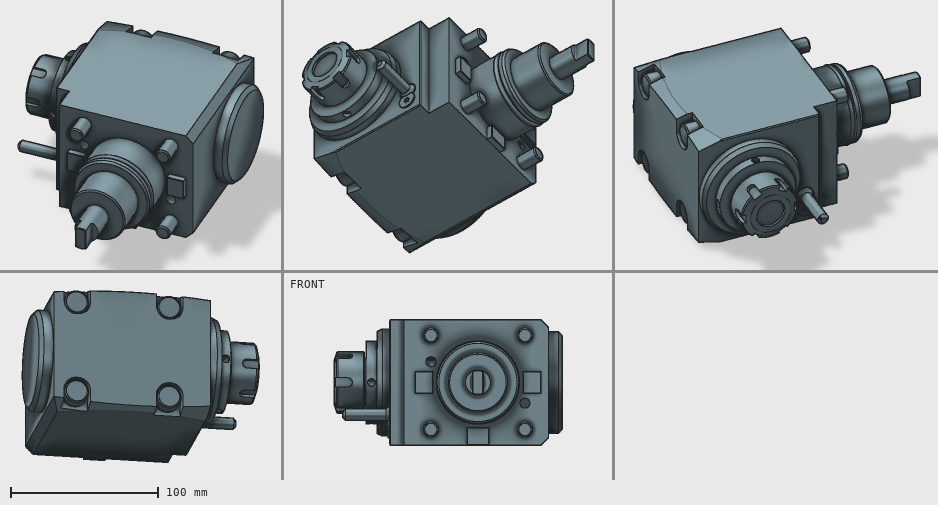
import cadquery as cq
import math


BLOCK_LEFT = -59.9
BLOCK_RIGHT = 48.0
BLOCK_DEPTH = 106.7
BLOCK_HEIGHT = 85.0
BLOCK_TOP = BLOCK_HEIGHT / 2
STEP_X = -50.0
STEP_Y = 17.0
RIGHT_CHAMFER = 5.3
LEFT_CHAMFER = 0.8

SWING_X = -7.2
SWING_RADIUS = 130.8
SWING_REACH = 7.0
SWING_SLOPE = math.radians(16.0)

SPINDLE_Y = 70.0
FLANGE_FRONT = -68.2
FLANGE_RADIUS = 36.4
FLANGE_BEVEL_LENGTH = 3.6
FLANGE_BEVEL_DEPTH = 1.7
CAP_END = 57.2
CAP_RADIUS = 34.5
CAP_CHAMFER = 2.8

COLLAR_FRONT = -75.6
JOURNAL_FRONT = -68.8
COLLAR_RADIUS = 28.0
SPANNER_HOLE_X = -72.0
SPANNER_HOLE_RADIUS = 2.7
SPANNER_HOLE_DEPTH = 3.8
SPANNER_HOLE_COUNT = 4
JOURNAL_RADIUS = 22.7

NECK_RADIUS = 16.5
NUT_BACK = -76.7
NUT_FRONT = -97.4
NUT_RADIUS = 20.8
NUT_BACK_CHAMFER = 0.5
NUT_RIM_FRONT = -95.7
NUT_RIM_BACK = -94.5
NUT_RIM_RADIUS = 20.3
NUT_FACE_RADIUS = 15.0
NUT_BORE_RADIUS = 10.5
NUT_BORE_DEPTH = 1.9
NUT_SLOT_COUNT = 6
NUT_SLOT_WIDTH = 6.5
NUT_SLOT_END = -84.9
NUT_SLOT_FLOOR = 18.0

SHANK_RADIUS = 27.7
SHANK_END = -29.5
SHANK_BEVEL_LENGTH = 1.7
SHANK_BEVEL_DEPTH = 1.1
GROOVE_START = -20.7
GROOVE_END = -25.0
GROOVE_RADIUS = 24.5
SEAL_WIRE_RADIUS = 1.5
SEAL_OUTER_RADIUS = 28.2
PILOT_RADIUS = 20.0
PILOT_END = -53.6
PILOT_CHAMFER = 1.0
DRIVE_RADIUS = 8.5
TANG_START = -72.4
TANG_END = BLOCK_DEPTH - 189.5
TANG_WIDTH = 7.5
TANG_CHAMFER = 0.5
TANG_ROOT_FILLET = 1.1

SCREW_PITCH = 63.7
SCREW_RADIUS = 5.1
SCREW_TIP = -15.0
SCREW_CHAMFER = 1.0
SCREW_HEAD_RADIUS = 8.1
HEAD_TOP = 104.8
HEAD_CHAMFER = 1.0
POCKET_RADIUS = 9.1
POCKET_DEPTH = 11.7
POCKET_OPENING = BLOCK_TOP - SCREW_PITCH / 2
KEY_HEIGHT = 4.4
KEY_WIDTH = 14.8
KEY_LENGTH = 12.1
KEY_CHAMFER = 0.4
SIDE_KEY_X = 36.5
BOTTOM_KEY_Z = -36.4
SMALL_HOLE_RADIUS = 3.5
SMALL_HOLE_Z = 14.0
SMALL_HOLE_DEPTH = 9.5
DRILL_HALF_ANGLE = math.radians(59.0)

NOZZLE_Y = 27.9
NOZZLE_Z = -21.8
NOZZLE_RADIUS = 4.0
NOZZLE_TIP = -91.5
NOZZLE_CHAMFER = 1.9
ORIFICE_RADIUS = 1.0
ORIFICE_DEPTH = 2.3
ORIFICE_ANGLE = math.radians(35.0)
BALL_RADIUS = 6.3
BALL_X = -57.5
NOZZLE_SEAT_RADIUS = 6.5
NOZZLE_SEAT_DEPTH = 0.8
PLUG_Z = -31.5
PLUG_RADIUS = 6.3
PLUG_SOCKET_WIDTH = 4.2
PLUG_FRONT = -60.8


def cylinder_x(radius, start, end, y, z):
    """Cylinder along X between two X positions."""
    return cq.Workplane("YZ", origin=(start, y, z)).circle(radius).extrude(end - start)


def cylinder_y(radius, start, end, x, z):
    """Cylinder along Y between two Y positions."""
    return cq.Workplane("XZ", origin=(x, start, z)).circle(radius).extrude(start - end)


def turned_about_spindle(points):
    """Solid of revolution about the spindle axis from (x, radius) points."""
    profile = cq.Workplane("XY").polyline([(x, SPINDLE_Y + r) for x, r in points]).close()
    return profile.revolve(360, (0, SPINDLE_Y, 0), (1, SPINDLE_Y, 0))


def turned_about_shank(points):
    """Solid of revolution about the shank axis from (radius, y) points."""
    return cq.Workplane("XY").polyline(points).close().revolve(360, (0, 0, 0), (0, 1, 0))


def block():
    outline = [
        (STEP_X, 0),
        (BLOCK_RIGHT, 0),
        (BLOCK_RIGHT, BLOCK_DEPTH),
        (BLOCK_LEFT, BLOCK_DEPTH),
        (BLOCK_LEFT, STEP_Y),
        (STEP_X, STEP_Y),
    ]
    body = cq.Workplane("XY").workplane(offset=-BLOCK_TOP).polyline(outline).close().extrude(BLOCK_HEIGHT)
    body = body.faces(">X").edges("|Y").chamfer(RIGHT_CHAMFER)
    body = body.faces("<X").edges("|Y or (|Z and <Y)").chamfer(LEFT_CHAMFER)
    return body.intersect(swing_envelope())


def swing_envelope():
    """Double cone that bevels the top and bottom back edges along an arc."""
    axis_y = BLOCK_DEPTH - SWING_REACH - SWING_RADIUS
    apex_radius = SWING_RADIUS + BLOCK_TOP / math.tan(SWING_SLOPE)
    half_height = apex_radius * math.tan(SWING_SLOPE)
    profile = cq.Workplane("XZ", origin=(SWING_X, axis_y, 0)).polyline(
        [(0, -half_height), (apex_radius, 0), (0, half_height)]
    ).close()
    return profile.revolve(360, (0, 0, 0), (0, 1, 0))


def spindle_housing():
    """Flange on the left of the block and bearing cap on the right."""
    flange = turned_about_spindle([
        (BLOCK_LEFT, 0),
        (FLANGE_FRONT, 0),
        (FLANGE_FRONT, FLANGE_RADIUS - FLANGE_BEVEL_DEPTH),
        (FLANGE_FRONT + FLANGE_BEVEL_LENGTH, FLANGE_RADIUS),
        (BLOCK_LEFT, FLANGE_RADIUS),
    ])
    cap = cylinder_x(CAP_RADIUS, BLOCK_RIGHT, CAP_END, SPINDLE_Y, 0).faces(">X").chamfer(CAP_CHAMFER)
    return flange.union(cap)


def shank():
    body = turned_about_shank([
        (0, 0),
        (SHANK_RADIUS, 0),
        (SHANK_RADIUS, GROOVE_START),
        (GROOVE_RADIUS, GROOVE_START),
        (GROOVE_RADIUS, GROOVE_END),
        (SHANK_RADIUS, GROOVE_END),
        (SHANK_RADIUS, SHANK_END + SHANK_BEVEL_LENGTH),
        (SHANK_RADIUS - SHANK_BEVEL_DEPTH, SHANK_END),
        (PILOT_RADIUS, SHANK_END),
        (PILOT_RADIUS, PILOT_END + PILOT_CHAMFER),
        (PILOT_RADIUS - PILOT_CHAMFER, PILOT_END),
        (0, PILOT_END),
    ])
    return body.union(drive_tang())


def drive_tang():
    """Round drive shaft with two flats that leave a tang across its end."""
    drive = cylinder_y(DRIVE_RADIUS, PILOT_END, TANG_END, 0, 0)
    length = TANG_START - TANG_END
    flat = cq.Workplane("XY").box(DRIVE_RADIUS, length, 2 * DRIVE_RADIUS)
    for side in (-1, 1):
        x = side * (TANG_WIDTH + DRIVE_RADIUS) / 2
        drive = drive.cut(flat.translate((x, TANG_END + length / 2, 0)))
    root_edges = cq.selectors.BoxSelector(
        (-TANG_WIDTH, TANG_START - TANG_ROOT_FILLET, -DRIVE_RADIUS / 2),
        (TANG_WIDTH, TANG_START + TANG_ROOT_FILLET, DRIVE_RADIUS / 2),
    )
    drive = drive.edges("|Z").edges(root_edges).fillet(TANG_ROOT_FILLET)
    return drive.faces("<Y").chamfer(TANG_CHAMFER)


def add_screws(body):
    """Four screws: heads in pockets open to the top or bottom, tips out of the mounting face."""
    places = [(sx * SCREW_PITCH / 2, sz * SCREW_PITCH / 2) for sx in (-1, 1) for sz in (-1, 1)]
    floor = BLOCK_DEPTH - POCKET_DEPTH
    opening = cq.Workplane("XY").box(2 * POCKET_RADIUS, POCKET_DEPTH, POCKET_OPENING)
    for x, z in places:
        pocket = cylinder_y(POCKET_RADIUS, BLOCK_DEPTH, floor, x, z)
        outward = math.copysign(POCKET_OPENING / 2, z)
        slot = opening.translate((x, floor + POCKET_DEPTH / 2, z + outward))
        head = cylinder_y(SCREW_HEAD_RADIUS, HEAD_TOP, floor, x, z).faces(">Y").chamfer(HEAD_CHAMFER)
        tip = cylinder_y(SCREW_RADIUS, 0, SCREW_TIP, x, z).faces("<Y").chamfer(SCREW_CHAMFER)
        body = body.cut(pocket).cut(slot).union(head).union(tip)
    return body


def keys():
    """Two side keys and one bottom key on the mounting face."""
    side_key = cq.Workplane("XY").box(KEY_LENGTH, KEY_HEIGHT, KEY_WIDTH).faces("<Y").chamfer(KEY_CHAMFER)
    bottom_key = cq.Workplane("XY").box(KEY_WIDTH, KEY_HEIGHT, KEY_LENGTH).faces("<Y").chamfer(KEY_CHAMFER)
    middle = -KEY_HEIGHT / 2
    return (
        side_key.translate((-SIDE_KEY_X, middle, 0))
        .union(side_key.translate((SIDE_KEY_X, middle, 0)))
        .union(bottom_key.translate((0, middle, BOTTOM_KEY_Z)))
    )


def drilled_hole(radius, depth, mouth, direction):
    """Cutter for a blind hole with a drill-point bottom."""
    point_length = radius / math.tan(DRILL_HALF_ANGLE)
    bore = cq.Solid.makeCylinder(radius, depth, mouth, direction)
    point = cq.Solid.makeCone(radius, 0, point_length, mouth + direction * depth, direction)
    return cq.Workplane(bore).union(cq.Workplane(point))


def small_holes():
    """Flat-bottomed hole and drilled hole, placed diagonally in the mounting face."""
    x = SCREW_PITCH / 2
    plain = cylinder_y(SMALL_HOLE_RADIUS, SMALL_HOLE_DEPTH, 0, x, -SMALL_HOLE_Z)
    mouth = cq.Vector(-x, 0, SMALL_HOLE_Z)
    return plain.union(drilled_hole(SMALL_HOLE_RADIUS, SMALL_HOLE_DEPTH, mouth, cq.Vector(0, 1, 0)))


def nozzle():
    """Coolant tube on a ball that sits half sunk in the block."""
    tube = cylinder_x(NOZZLE_RADIUS, NOZZLE_TIP, BALL_X, NOZZLE_Y, NOZZLE_Z).faces("<X").chamfer(NOZZLE_CHAMFER)
    ball = cq.Workplane("XY").sphere(BALL_RADIUS).translate((BALL_X, NOZZLE_Y, NOZZLE_Z))
    return tube.union(ball).cut(orifice())


def orifice():
    """Small jet hole square to the tip chamfer, on its upper back side."""
    side_y = math.cos(ORIFICE_ANGLE)
    side_z = math.sin(ORIFICE_ANGLE)
    offset = NOZZLE_RADIUS - NOZZLE_CHAMFER / 2
    mouth = cq.Vector(
        NOZZLE_TIP + NOZZLE_CHAMFER / 2,
        NOZZLE_Y + offset * side_y,
        NOZZLE_Z + offset * side_z,
    )
    inward = cq.Vector(1, -side_y, -side_z).normalized()
    return cq.Workplane(cq.Solid.makeCylinder(ORIFICE_RADIUS, ORIFICE_DEPTH, mouth, inward))


def plug():
    """Screw plug with a hexagon socket, standing slightly proud of the block."""
    body = cylinder_x(PLUG_RADIUS, PLUG_FRONT, BLOCK_LEFT, NOZZLE_Y, PLUG_Z)
    socket = cq.Workplane("YZ", origin=(PLUG_FRONT, NOZZLE_Y, PLUG_Z)).polygon(6, PLUG_SOCKET_WIDTH)
    return body.cut(socket.extrude(BLOCK_LEFT - PLUG_FRONT))


def spindle():
    """Collar, neck and collet nut on a short journal in front of the flange."""
    body = turned_about_spindle([
        (FLANGE_FRONT, 0),
        (FLANGE_FRONT, JOURNAL_RADIUS),
        (JOURNAL_FRONT, JOURNAL_RADIUS),
        (JOURNAL_FRONT, COLLAR_RADIUS),
        (COLLAR_FRONT, COLLAR_RADIUS),
        (COLLAR_FRONT, NECK_RADIUS),
        (NUT_BACK, NECK_RADIUS),
        (NUT_BACK, NUT_RADIUS - NUT_BACK_CHAMFER),
        (NUT_BACK - NUT_BACK_CHAMFER, NUT_RADIUS),
        (NUT_RIM_BACK, NUT_RADIUS),
        (NUT_RIM_FRONT, NUT_RIM_RADIUS),
        (NUT_FRONT, NUT_FACE_RADIUS),
        (NUT_FRONT, NUT_BORE_RADIUS),
        (NUT_FRONT + NUT_BORE_DEPTH, NUT_BORE_RADIUS),
        (NUT_FRONT + NUT_BORE_DEPTH, 0),
    ])
    body = cut_around_spindle(body, nut_slot(), NUT_SLOT_COUNT)
    return cut_around_spindle(body, spanner_hole(), SPANNER_HOLE_COUNT)


def cut_around_spindle(body, cutter, count):
    """Cut evenly spaced copies of a cutter around the spindle axis."""
    for index in range(count):
        turned = cutter.rotate((0, SPINDLE_Y, 0), (1, SPINDLE_Y, 0), index * 360 / count)
        body = body.cut(turned)
    return body


def nut_slot():
    """Round-ended spanner slot with a flat floor, on the side that faces -Y."""
    half = NUT_SLOT_WIDTH / 2
    end_centre = NUT_SLOT_END - half
    outline = (
        cq.Workplane("XZ", origin=(0, SPINDLE_Y - NUT_SLOT_FLOOR, 0))
        .moveTo(NUT_FRONT, -half)
        .lineTo(end_centre, -half)
        .threePointArc((NUT_SLOT_END, 0), (end_centre, half))
        .lineTo(NUT_FRONT, half)
        .close()
    )
    return outline.extrude(NUT_RADIUS)


def spanner_hole():
    """Drilled hole in the collar rim, on the side that faces -Y."""
    mouth = cq.Vector(SPANNER_HOLE_X, SPINDLE_Y - COLLAR_RADIUS, 0)
    return drilled_hole(SPANNER_HOLE_RADIUS, SPANNER_HOLE_DEPTH, mouth, cq.Vector(0, 1, 0))


def make_housing():
    """Tool holder: block, spindle line, shank and all small fittings as one solid."""
    body = block().union(spindle_housing()).union(shank()).union(spindle())
    body = add_screws(body).union(keys()).cut(small_holes())
    seat = cylinder_x(NOZZLE_SEAT_RADIUS, BLOCK_LEFT, BLOCK_LEFT + NOZZLE_SEAT_DEPTH, NOZZLE_Y, NOZZLE_Z)
    return body.cut(seat).union(plug()).union(nozzle())


def make_seal_ring():
    """O-ring against the upper wall of the shank groove."""
    centre = cq.Vector(0, GROOVE_START - SEAL_WIRE_RADIUS, 0)
    ring_radius = SEAL_OUTER_RADIUS - SEAL_WIRE_RADIUS
    return cq.Workplane(cq.Solid.makeTorus(ring_radius, SEAL_WIRE_RADIUS, centre, cq.Vector(0, 1, 0)))


housing = make_housing()
seal_ring = make_seal_ring()
result = cq.Compound.makeCompound([housing.solids().val(), seal_ring.val()])